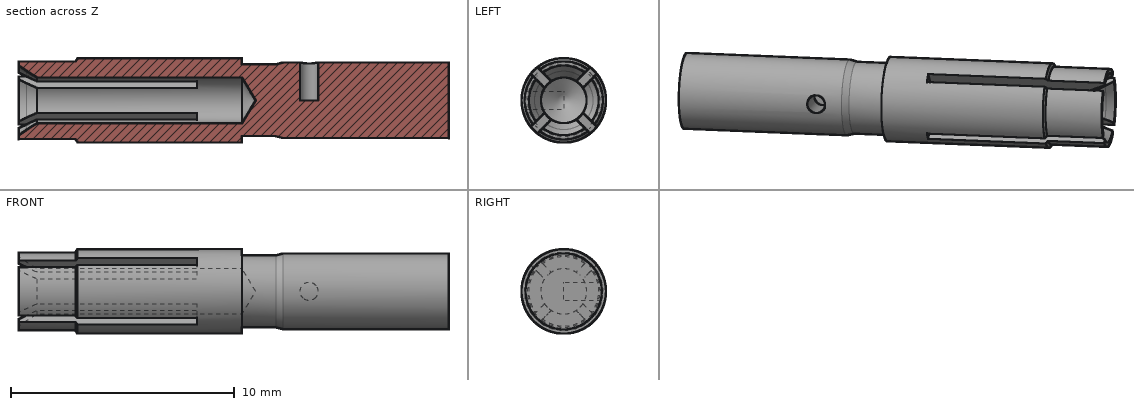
import cadquery as cq
import math

total_length = 19.25
tip_end = 2.55
shoulder_end = 2.64
slot_length = 7.99
body_end = 10.0
neck_end = 11.51
barrel_start = 11.84

tip_radius = 1.75
body_radius = 1.896
neck_radius = 1.62
barrel_radius = 1.704

mouth_radius = 1.55
mid_mouth_radius = 1.3
bore_radius = 1.02
mouth_depth = 0.37
lead_in_depth = 0.83
bore_depth = 10.0
drill_point_angle = 118.0

slot_width = 0.42
slot_angles = (45, 135)

side_hole_radius = 0.4
side_hole_x = 13.0


def revolve_about_x(points):
    return cq.Workplane("XY").polyline(points).close().revolve(360, (0, 0, 0), (1, 0, 0))


def outer_body():
    return revolve_about_x([
        (0, 0),
        (0, tip_radius),
        (tip_end, tip_radius),
        (shoulder_end, body_radius),
        (body_end, body_radius),
        (body_end, neck_radius),
        (neck_end, neck_radius),
        (barrel_start, barrel_radius),
        (total_length, barrel_radius),
        (total_length, 0),
    ])


def socket_bore():
    point_depth = bore_radius / math.tan(math.radians(drill_point_angle / 2))
    return revolve_about_x([
        (0, 0),
        (0, mouth_radius),
        (mouth_depth, mid_mouth_radius),
        (lead_in_depth, bore_radius),
        (bore_depth, bore_radius),
        (bore_depth + point_depth, 0),
    ])


def finger_slot(angle):
    return (
        cq.Workplane("XY")
        .box(slot_length, 2 * body_radius, slot_width, centered=(False, True, True))
        .rotate((0, 0, 0), (1, 0, 0), angle)
    )


def side_hole():
    return cq.Workplane("XZ").center(side_hole_x, 0).circle(side_hole_radius).extrude(-body_radius)


result = outer_body().cut(socket_bore())
for slot_angle in slot_angles:
    result = result.cut(finger_slot(slot_angle))
result = result.cut(side_hole())